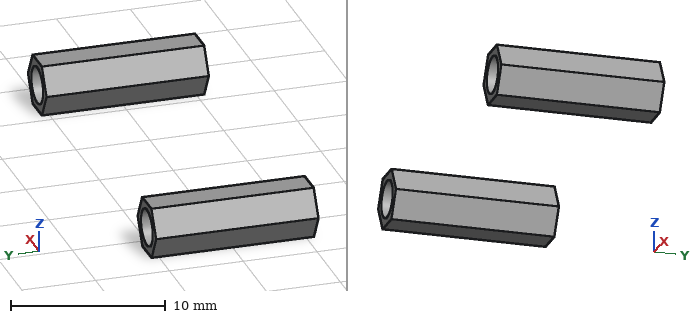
import cadquery as cq

spacer_length = 11.0
corner_diameter = 4.0
bore_diameter = 2.5
spacer_pitch = 23.5
left_spacer_roll = 0.75
right_spacer_roll = 0.25


def hex_spacer(center_x, roll):
    """Hexagonal tube centred on Y, turned by roll degrees about its own axis."""
    spacer = (
        cq.Workplane("XZ")
        .polygon(6, corner_diameter)
        .circle(bore_diameter / 2)
        .extrude(spacer_length / 2, both=True)
    )
    return spacer.rotate((0, 0, 0), (0, 1, 0), roll).translate((center_x, 0, 0))


spacer_placements = [
    (-spacer_pitch / 2, left_spacer_roll),
    (spacer_pitch / 2, right_spacer_roll),
]
spacers = [hex_spacer(center_x, roll) for center_x, roll in spacer_placements]

result = cq.Compound.makeCompound([spacer.val() for spacer in spacers])